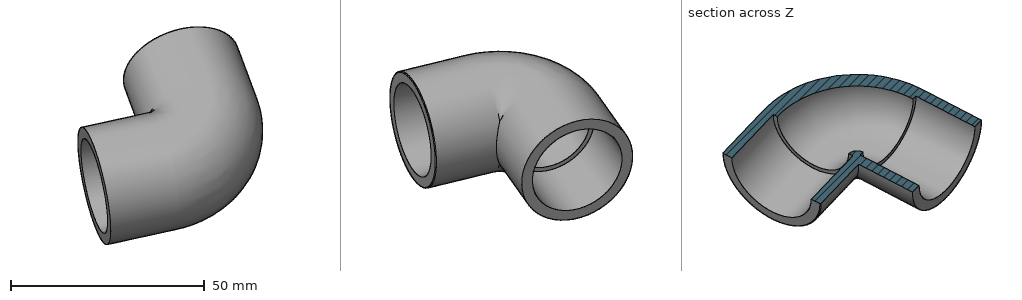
import math

import cadquery as cq

overall_length = 48.0
outer_diameter = 31.0
socket_diameter = 25.0
bore_diameter = 22.5
leg_length = 18.6
rim_chamfer = 0.25

outer_radius = outer_diameter / 2
face_distance = overall_length - outer_radius
bend_radius = face_distance - leg_length

x_end = (cq.Vector(-face_distance, 0, 0), cq.Vector(1, 0, 0))
y_end = (cq.Vector(0, -face_distance, 0), cq.Vector(0, 1, 0))


def leg(end, diameter):
    """Solid cylinder running from an end face to the start of the bend."""
    face_center, inward = end
    cylinder = cq.Solid.makeCylinder(diameter / 2, leg_length, face_center, inward)
    return cq.Workplane(cylinder)


def bend_section():
    """Section plane at the start of the bend, with its vertical axis on the turning axis."""
    return cq.Workplane("XZ", origin=(-bend_radius, -bend_radius, 0))


def quarter_turn(section):
    """Turn a section from one leg to the other."""
    return section.revolve(90, (0, 0), (0, 1))


def outer_bend():
    """Outer elbow; its radius exceeds the bend radius, so the section stops at the turning axis."""
    half_chord = math.sqrt(outer_radius**2 - bend_radius**2)
    section = (
        bend_section()
        .moveTo(0, -half_chord)
        .threePointArc((bend_radius + outer_radius, 0), (0, half_chord))
        .close()
    )
    return cq.Workplane(quarter_turn(section).val().toNURBS())


def bore_bend():
    """Curved passage joining the two sockets."""
    section = bend_section().moveTo(bend_radius, 0).circle(bore_diameter / 2)
    return quarter_turn(section)


x_leg = leg(x_end, outer_diameter).faces("<X").edges().chamfer(rim_chamfer)
body = x_leg.union(leg(y_end, outer_diameter)).union(outer_bend())

result = body.cut(bore_bend())
for end in (x_end, y_end):
    result = result.cut(leg(end, socket_diameter))